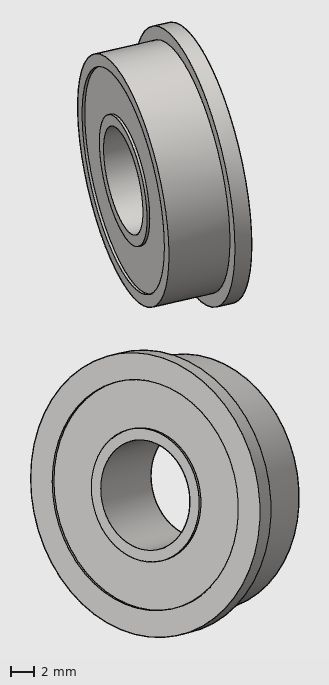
import cadquery as cq

flange_diameter = 24.6
body_diameter = 22.18
outer_ring_bore = 19.95
inner_ring_diameter = 11.55
bore_diameter = 9.55
width = 7.1
flange_thickness = 1.55
shield_recess = 0.25

front_y = -width / 2
back_y = width / 2


def cylinder(diameter, start_y, length):
    """Cylinder on the Y axis, running from start_y toward +Y."""
    plane = cq.Workplane("XZ", origin=(0, start_y, 0))
    return plane.circle(diameter / 2).extrude(-length)


def shield_groove(start_y):
    """Shallow annular recess between the inner and outer rings."""
    outside = cylinder(outer_ring_bore, start_y, shield_recess)
    inside = cylinder(inner_ring_diameter, start_y, shield_recess)
    return outside.cut(inside)


body = cylinder(body_diameter, front_y, width)
flange = cylinder(flange_diameter, back_y - flange_thickness, flange_thickness)
bearing = body.union(flange)

bearing = bearing.cut(cylinder(bore_diameter, front_y, width))

for recess_start in (front_y, back_y - shield_recess):
    bearing = bearing.cut(shield_groove(recess_start))

result = bearing